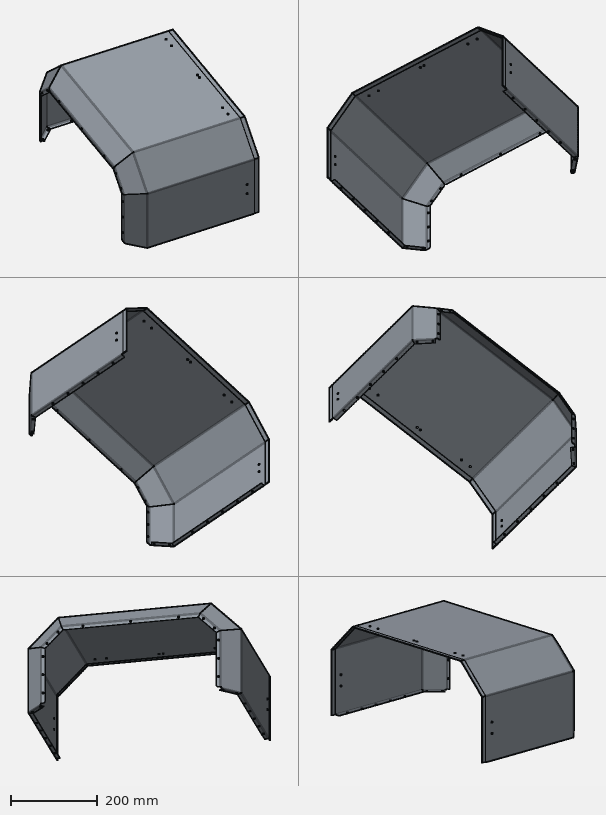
import cadquery as cq
import math

WIDTH = 508.0
DEPTH = 332.0
HEIGHT = 234.5

SHEET = 1.4
WIDE_BEND = 4.3
TIGHT_BEND = 2.5
HEM_GAP = 0.1
HEM_RADIUS = SHEET + HEM_GAP / 2

CORNER_CUT = 72.0
BEVEL = 40.5
FLANGE_INSET = 51.0
SEAM = 0.5
HEM_WIDTH = 12.0
BOTTOM_FLANGE = 11.0
BOTTOM_FLANGE_REAR = 16.0
BOTTOM_FLANGE_FRONT = 4.5
FLANGE_LIFT = 4.5
FLANGE_CORNER = 5.0

HOLE = 4.5
DRILL_DEPTH = 5.0
FLANGE_HOLE_INSET = 45.0
PITCH = 45.5
LOWEST_FLANGE_HOLE = 30.5
SIDE_FLANGE_HOLE_COUNT = 3
SIDE_FLANGE_HOLES = [LOWEST_FLANGE_HOLE + PITCH * i for i in range(SIDE_FLANGE_HOLE_COUNT)]
TOP_FLANGE_HOLE_X = 114.0
BOTTOM_HOLE_INSET = 6.0
BOTTOM_HOLES_REAR = 47.0
BOTTOM_HOLE_COUNT = 5
SHORT_PANEL_HOLE = 18.5
PANEL_HOLES_REAR = 31.5
CENTRE_HOLES_REAR = 28.0
CENTRE_HOLE_X = 5.0
TOP_HOLE_X = (129.0, 156.0)
SIDE_HOLE_Z = (67.5, 94.5)

FRONT = -DEPTH
FOLD = FRONT + BEVEL
FOLD_SETBACK = WIDE_BEND * math.tan(math.pi / 8)
BEVEL_LENGTH = BEVEL * math.sqrt(2)
BEYOND_PART = 2 * WIDTH
TOLERANCE = 5.08e-06

HALF = WIDTH / 2
WRAP = [
    cq.Vector(-HALF, 0, TIGHT_BEND),
    cq.Vector(-HALF, 0, HEIGHT - CORNER_CUT),
    cq.Vector(CORNER_CUT - HALF, 0, HEIGHT),
    cq.Vector(HALF - CORNER_CUT, 0, HEIGHT),
    cq.Vector(HALF, 0, HEIGHT - CORNER_CUT),
    cq.Vector(HALF, 0, TIGHT_BEND),
]
RUNS = [(end - start).normalized() for start, end in zip(WRAP, WRAP[1:])]


def bent_sheet(plane, corners, radius, length):
    """Sheet bent along a clockwise line of outer corners in the plane, extruded by length."""
    points = [cq.Vector(*corner) for corner in corners]
    runs = [(b - a).normalized() for a, b in zip(points, points[1:])]
    inward = [cq.Vector(run.y, -run.x) for run in runs]
    bends = []
    for i, corner in enumerate(points[1:-1]):
        setback = radius * math.tan(runs[i].getAngle(runs[i + 1]) / 2)
        centre = corner - runs[i] * setback + inward[i] * radius
        middle = (inward[i] + inward[i + 1]).normalized()
        bends.append((centre, (inward[i], middle, inward[i + 1])))

    def surface(depth):
        """Edges of the sheet's surface at a depth below its outside."""
        edges = []
        last = points[0] + inward[0] * depth
        for centre, rays in bends:
            start, middle, end = [centre - ray * (radius - depth) for ray in rays]
            edges += [cq.Edge.makeLine(last, start), cq.Edge.makeThreePointArc(start, middle, end)]
            last = end
        finish = points[-1] + inward[-1] * depth
        if (finish - last).Length > TOLERANCE:
            edges.append(cq.Edge.makeLine(last, finish))
        return edges

    first_end = cq.Edge.makeLine(points[0], points[0] + inward[0] * SHEET)
    last_end = cq.Edge.makeLine(points[-1], points[-1] + inward[-1] * SHEET)
    outline = cq.Wire.assembleEdges(surface(0) + [last_end] + surface(SHEET)[::-1] + [first_end])
    return cq.Workplane(plane).add(outline.moved(plane.location)).toPending().extrude(length)


def trim(body, point, away):
    """Remove everything beyond the plane through point, on the side that away points to."""
    beyond = cq.Workplane(cq.Plane(point, normal=away)).rect(BEYOND_PART, BEYOND_PART).extrude(BEYOND_PART)
    return body.cut(beyond)


def mitre(body, panel):
    """Trim a panel's strip at the joints with its neighbours, leaving half the seam each."""
    if panel > 0:
        across = (RUNS[panel - 1] + RUNS[panel]).normalized()
        body = trim(body, WRAP[panel] + across * (SEAM / 2), across * -1)
    if panel < len(RUNS) - 1:
        across = (RUNS[panel] + RUNS[panel + 1]).normalized()
        body = trim(body, WRAP[panel + 1] - across * (SEAM / 2), across)
    return body


def panel_plane(panel):
    """Plane across a panel: local x points into the part, local y is the part's Y."""
    run = RUNS[panel]
    inward = cq.Vector(run.z, 0, -run.x)
    return cq.Plane(WRAP[panel], xDir=inward, normal=run)


def panel_length(panel):
    return (WRAP[panel + 1] - WRAP[panel]).Length


def wrap():
    """Side, corner and top panels, between the front fold and the hem."""
    rear = cq.Plane((0, -HEM_RADIUS, 0), xDir=(1, 0, 0), normal=(0, -1, 0))
    corners = [(point.x, point.z) for point in WRAP]
    return bent_sheet(rear, corners, WIDE_BEND, -FOLD - FOLD_SETBACK - HEM_RADIUS)


def front_strip(panel):
    """Front bevel and flange of one panel."""
    corners = [(FLANGE_INSET, FRONT), (BEVEL, FRONT), (0, FOLD), (0, FOLD + FOLD_SETBACK)]
    strip = bent_sheet(panel_plane(panel), corners, WIDE_BEND, panel_length(panel))
    strip = mitre(strip, panel)
    if panel in (0, len(RUNS) - 1):
        middle = math.copysign(HALF - (BEVEL + FLANGE_INSET) / 2, WRAP[panel].x)
        width = FLANGE_INSET - BEVEL + 2 * FOLD_SETBACK
        relief = cq.Workplane().box(width, 2 * FOLD_SETBACK, 2 * FLANGE_LIFT)
        strip = strip.cut(relief.translate((middle, FRONT, 0)))
    return strip.edges("|Y").fillet(FLANGE_CORNER)


def hem(panel):
    """Rear edge of one panel folded flat against its inside."""
    inner = 2 * HEM_RADIUS
    profile = (
        cq.Workplane(panel_plane(panel))
        .moveTo(0, -HEM_RADIUS)
        .threePointArc((HEM_RADIUS, 0), (inner, -HEM_RADIUS))
        .lineTo(inner, -HEM_WIDTH)
        .lineTo(inner - SHEET, -HEM_WIDTH)
        .lineTo(inner - SHEET, -HEM_RADIUS)
        .threePointArc((HEM_RADIUS, SHEET - HEM_RADIUS), (SHEET, -HEM_RADIUS))
        .lineTo(0, -HEM_RADIUS)
        .close()
    )
    return mitre(profile.extrude(panel_length(panel)), panel)


def bottom_flange(start, run, length, hole_places):
    """Flange bent inward along the bottom of a left-hand panel, with holes along its length."""
    inward = cq.Vector(-run.y, run.x, 0)
    plane = cq.Plane(start, xDir=inward, normal=run)
    corners = [(BOTTOM_FLANGE, 0), (0, 0), (0, TIGHT_BEND)]
    flange = bent_sheet(plane, corners, TIGHT_BEND, length)
    for place in hole_places:
        centre = start + run * place + inward * BOTTOM_HOLE_INSET
        flange = flange.cut(cq.Workplane().circle(HOLE / 2).extrude(DRILL_DEPTH).translate(centre))
    return flange


def bottom_flanges():
    """Bottom flanges of the left side panel and of the bevel ahead of it."""
    side_run = cq.Vector(0, -1, 0)
    bevel_run = cq.Vector(1, -1, 0).normalized()
    rear = cq.Vector(-HALF, -BOTTOM_FLANGE_REAR, 0)
    corner = cq.Vector(-HALF, FOLD, 0)
    side_holes = [BOTTOM_HOLES_REAR - BOTTOM_FLANGE_REAR + PITCH * i for i in range(BOTTOM_HOLE_COUNT)]
    bevel_holes = [BEVEL_LENGTH / 2 + offset for offset in (-SHORT_PANEL_HOLE, SHORT_PANEL_HOLE)]
    side = bottom_flange(rear, side_run, (corner - rear).Length, side_holes)
    bevel = bottom_flange(corner, bevel_run, BEVEL_LENGTH - BOTTOM_FLANGE_FRONT, bevel_holes)
    across = (side_run + bevel_run).normalized()
    side = trim(side, corner - across * (SEAM / 2), across)
    bevel = trim(bevel, corner + across * (SEAM / 2), across * -1)
    return side.union(bevel)


def front_flange_drills():
    """Holes along the front flange of every panel."""
    inset = FLANGE_HOLE_INSET
    left = [(inset - HALF, z) for z in SIDE_FLANGE_HOLES]
    slope = math.cos(math.pi / 4)
    middle_x = CORNER_CUT / 2 - HALF + inset * slope
    middle_z = HEIGHT - CORNER_CUT / 2 - inset * slope
    for along in (-SHORT_PANEL_HOLE, SHORT_PANEL_HOLE):
        left.append((middle_x + along * slope, middle_z + along * slope))
    left.append((-TOP_FLANGE_HOLE_X, HEIGHT - inset))
    right = [(-x, z) for x, z in left]
    face = cq.Workplane("XZ", origin=(0, FRONT, 0))
    centre = (0, HEIGHT - inset)
    return face.pushPoints(left + right + [centre]).circle(HOLE / 2).extrude(-DRILL_DEPTH)


def panel_drills():
    """Holes near the rear of the top and side panels."""
    top = [(sign * x, -PANEL_HOLES_REAR) for x in TOP_HOLE_X for sign in (-1, 1)]
    top += [(sign * CENTRE_HOLE_X, -CENTRE_HOLES_REAR) for sign in (-1, 1)]
    side = [(-PANEL_HOLES_REAR, z) for z in SIDE_HOLE_Z]
    roof = cq.Workplane("XY", origin=(0, 0, HEIGHT))
    down = roof.pushPoints(top).circle(HOLE / 2).extrude(-DRILL_DEPTH)
    through = cq.Workplane("YZ").pushPoints(side).circle(HOLE / 2).extrude(HALF, both=True)
    return down.union(through)


result = wrap()
for number in range(len(RUNS)):
    result = result.union(front_strip(number)).union(hem(number))
left_flanges = bottom_flanges()
result = result.union(left_flanges).union(left_flanges.mirror("YZ"))
result = result.cut(front_flange_drills()).cut(panel_drills())